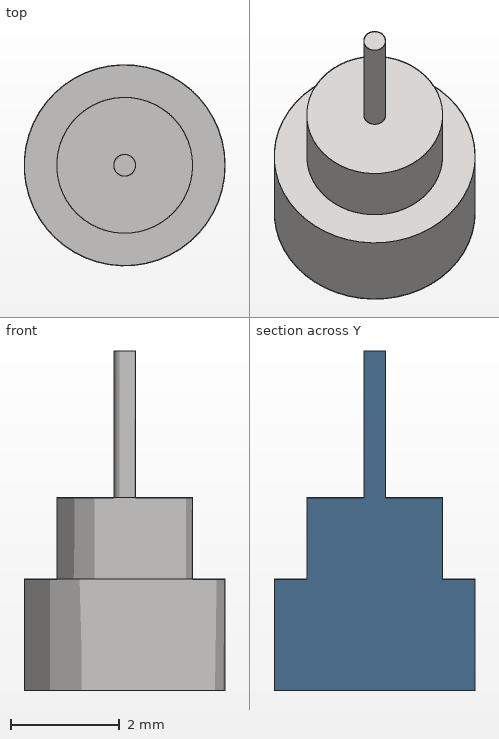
import cadquery as cq

total_height = 6.25
base_diameter = 3.7
base_height = 2.05
collar_diameter = 2.5
collar_height = 1.5
seal_diameter = 1.95
pin_diameter = 0.4

collar_top = base_height + collar_height
pin_height = total_height - collar_top


def cylinder(diameter, height, bottom):
    """Upright cylinder centred on the Z axis."""
    return cq.Workplane("XY").workplane(offset=bottom).circle(diameter / 2).extrude(height)


base = cylinder(base_diameter, base_height, 0)
seal = cylinder(seal_diameter, collar_height, base_height)
collar = cylinder(collar_diameter, collar_height, base_height).cut(seal)
pin = cylinder(pin_diameter, pin_height, collar_top)

result = base.union(collar).union(seal, clean=False).union(pin, clean=False)